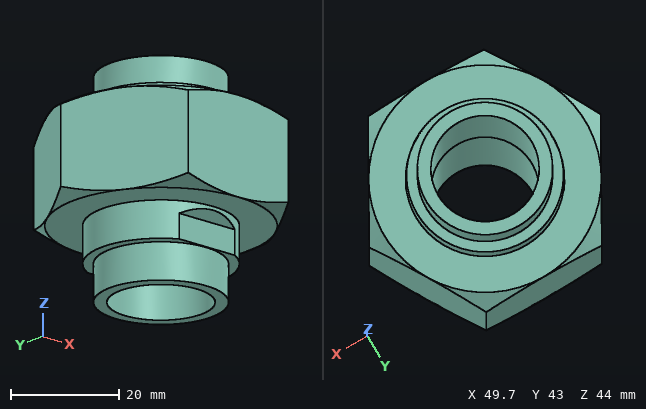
import cadquery as cq
import math

nut_across_corners = 49.65
nut_height = 20.0
nut_chamfer_angle = 30.0
bore_diameter = 20.0
spigot_diameter = 25.0
collar_diameter = 29.0
nut_clearance_diameter = 29.4
lower_spigot_length = 7.5
lower_collar_exposed = 7.5
upper_collar_exposed = 3.0
upper_spigot_length = 6.0
across_wrench_flats = 25.5
wrench_flat_height = 5.0

nut_bottom = lower_spigot_length + lower_collar_exposed
nut_top = nut_bottom + nut_height
joint_level = nut_bottom + nut_height / 2
upper_collar_top = nut_top + upper_collar_exposed
nut_across_flats = nut_across_corners * math.cos(math.radians(30))


def cylinder(diameter, bottom, height):
    return cq.Workplane("XY").workplane(offset=bottom).circle(diameter / 2).extrude(height)


def nut_chamfer_envelope():
    """Solid of revolution whose conical ends trim the corners of the hexagon."""
    face_radius = nut_across_flats / 2
    corner_radius = nut_across_corners / 2
    drop = (corner_radius - face_radius) * math.tan(math.radians(nut_chamfer_angle))
    return (
        cq.Workplane("XZ")
        .moveTo(0, nut_bottom)
        .lineTo(face_radius, nut_bottom)
        .lineTo(corner_radius, nut_bottom + drop)
        .lineTo(corner_radius, nut_top - drop)
        .lineTo(face_radius, nut_top)
        .lineTo(0, nut_top)
        .close()
        .revolve(360, (0, 0, 0), (0, 1, 0))
    )


def make_nut():
    """Hexagonal nut: close fit on the lower collar, clearance around the upper one."""
    hexagon = (
        cq.Workplane("XY").workplane(offset=nut_bottom)
        .polygon(6, nut_across_corners).extrude(nut_height)
    )
    fit_hole = cylinder(collar_diameter, nut_bottom, nut_height)
    clearance_hole = cylinder(nut_clearance_diameter, joint_level, nut_top - joint_level)
    return hexagon.intersect(nut_chamfer_envelope()).cut(fit_hole).cut(clearance_hole)


def wrench_flat_cutter():
    """Material removed on the +Y side: an upright flat with a 45 degree run-out."""
    flat_distance = across_wrench_flats / 2
    collar_radius = collar_diameter / 2
    flat_top = lower_spigot_length + wrench_flat_height
    runout = collar_radius - flat_distance
    return (
        cq.Workplane("YZ")
        .moveTo(flat_distance, lower_spigot_length)
        .lineTo(collar_radius, lower_spigot_length)
        .lineTo(collar_radius, flat_top + runout)
        .lineTo(flat_distance, flat_top)
        .close()
        .extrude(collar_radius, both=True)
    )


def make_lower_tube():
    """Lower tube: spigot, and collar with two opposite wrench flats."""
    spigot = cylinder(spigot_diameter, 0, lower_spigot_length)
    collar = cylinder(collar_diameter, lower_spigot_length, joint_level - lower_spigot_length)
    for angle in (0, 180):
        collar = collar.cut(wrench_flat_cutter().rotate((0, 0, 0), (0, 0, 1), angle))
    return spigot.union(collar).cut(cylinder(bore_diameter, 0, joint_level))


def make_upper_tube():
    """Upper tube: collar rising out of the nut, and spigot."""
    collar = cylinder(collar_diameter, joint_level, upper_collar_top - joint_level)
    spigot = cylinder(spigot_diameter, upper_collar_top, upper_spigot_length)
    bore_length = upper_collar_top + upper_spigot_length - joint_level
    return collar.union(spigot).cut(cylinder(bore_diameter, joint_level, bore_length))


nut = make_nut()
lower_tube = make_lower_tube()
upper_tube = make_upper_tube()

result = cq.Compound.makeCompound([nut.val(), lower_tube.val(), upper_tube.val()])